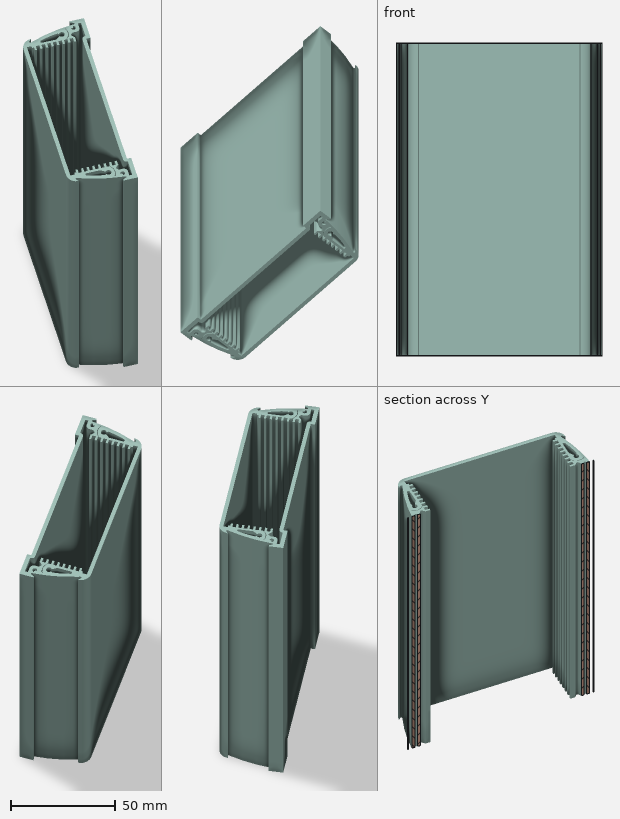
import cadquery as cq
import math

WIDTH = 98.5
DEPTH = 32.8
LENGTH = 150.0
HALF_WIDTH = WIDTH / 2


PLATE_THICKNESS = 2.0

RIM_WIDTH = 12.2
RIM_THICKNESS = 2.1
RIM_UNDERSIDE = DEPTH - RIM_THICKNESS
PANEL_TOP = RIM_UNDERSIDE
PANEL_BOTTOM = PANEL_TOP - PLATE_THICKNESS
STEP_FILLET = 0.3
STEP_ROUND = RIM_UNDERSIDE - PANEL_BOTTOM - STEP_FILLET
STEP_FACE = RIM_WIDTH - STEP_ROUND

SKIRT_THICKNESS = 2.2
SKIRT_BOTTOM = 25.8
SKIRT_TIP_WIDTH = 0.8
NOTCH_OUTER = 1.4
NOTCH_SPRING = 27.2
NOTCH_CREST = (1.8, 27.6)

HEAD_TOP = 26.5
HEAD_OUTER = SKIRT_THICKNESS
HEAD_INNER = 4.2
HEAD_CHAMFER = 0.5
HEAD_CORNER = (HEAD_INNER, 25.4)
SOCKET_START = (3.2, HEAD_TOP)
SOCKET_CREST = (4.8, 27.5)
NECK_FACE = 3.8
NECK_TOP = 24.6

WALL_FACE = 10.0
SEAT_LEFT = 22.6
SEAT_CREST = (6.8, 23.4)
SEAT_RIGHT = 21.5
SEAT_GAP = 0.3

SHELF_TOP = 29.2
SHELF_END = 4.8
HOOK_FACE = 6.9
HOOK_SHOULDER = (6.3, 28.6)
HOOK_FACE_TOP = 27.2
HOOK_FACE_BOTTOM = 25.4
VALLEY_BOTTOM = 24.3
VALLEY_START = 7.8
VALLEY_END = 8.4
FOOT_TIP = (WALL_FACE, 26.0)

RIB_COUNT = 8
COVER_RIB_COUNT = 2
BASE_RIB_COUNT = RIB_COUNT - COVER_RIB_COUNT
RIB_THICKNESS = 1.0
RIB_TIP = 12.3
RIB_EMBED = 0.2
LOWEST_RIB = 5.7
HIGHEST_RIB = 25.2
RIB_PITCH = (HIGHEST_RIB - LOWEST_RIB) / (RIB_COUNT - 1)

CORNER_RADIUS = 5.2
CORNER_CENTER = 10.5
CORNER_MIDDLE = 1.4
CORNER_TOP = 3.3
LIP_TIP = (CORNER_CENTER - CORNER_RADIUS, 5.1)
GROOVE_START = (6.3, 4.2)
GROOVE_BOTTOM = (7.0, 3.9)
GROOVE_END = (7.4, 4.5)

BOW_START = (7.0, 5.2)
BOW_MIDDLE = (3.9, 15.9)

LEDGE_FACE = 10.6
SLOT_TOP = 4.2
SLOT_BACK = 9.6

BORE_CENTER = (6.6, 20.1)
BORE_RADIUS = 1.4
NECK_LEFT = 6.0
NECK_RIGHT = 7.4
KEYHOLE_NECK_TOP = 19.5
KEYHOLE_NECK_BOTTOM = 18.8
TAPER_START = (5.5, 18.2)
TAPER_MIDDLE = (6.3, 13.8)
TAPER_END = (7.5, 9.6)
KEYHOLE_BOTTOM = (8.2, 9.0)
KEYHOLE_FACE = 8.8
KEYHOLE_FACE_TOP = 16.6


def section(start):
    """Begin an outline at a point of the cross-section, on the lower end face."""
    return cq.Workplane("XY", origin=(-HALF_WIDTH, -DEPTH / 2, -LENGTH / 2)).moveTo(*start)


def lowered(point, drop):
    """Point of the cross-section moved down."""
    across, up = point
    return (across, up - drop)


def corner_point(up):
    """Point of the rounded base corner at the given height."""
    return (CORNER_CENTER - math.sqrt(CORNER_RADIUS**2 - (CORNER_RADIUS - up) ** 2), up)


def add_ribs(half, numbers):
    """Fuse the guide ribs with the given numbers, counted from the lowest, to a half."""
    root = WALL_FACE - RIB_EMBED
    for number in numbers:
        bottom = LOWEST_RIB + number * RIB_PITCH - RIB_THICKNESS / 2
        top = bottom + RIB_THICKNESS
        outline = section((root, bottom)).lineTo(RIB_TIP, bottom).lineTo(RIB_TIP, top).lineTo(root, top)
        half = half.union(outline.close().extrude(LENGTH))
    return half


def whole(half):
    """Complete a left half with its mirror image."""
    return half.union(half.mirror("YZ")).clean()


def make_cover():
    half = (
        section((HALF_WIDTH, PANEL_TOP))
        .lineTo(RIM_WIDTH, PANEL_TOP)
        .lineTo(RIM_WIDTH, DEPTH)
        .lineTo(0, DEPTH)
        .lineTo(0, SKIRT_BOTTOM)
        .lineTo(SKIRT_TIP_WIDTH, SKIRT_BOTTOM)
        .lineTo(NOTCH_OUTER, NOTCH_SPRING)
        .threePointArc(NOTCH_CREST, (HEAD_OUTER, NOTCH_SPRING))
        .lineTo(HEAD_OUTER, HEAD_TOP)
        .lineTo(*SOCKET_START)
        .threePointArc(SOCKET_CREST, HEAD_CORNER)
        .lineTo(NECK_FACE, NECK_TOP)
        .lineTo(NECK_FACE, SEAT_LEFT)
        .threePointArc(SEAT_CREST, (WALL_FACE, SEAT_RIGHT))
        .lineTo(*FOOT_TIP)
        .lineTo(VALLEY_END, VALLEY_BOTTOM)
        .lineTo(VALLEY_START, VALLEY_BOTTOM)
        .lineTo(HOOK_FACE, HOOK_FACE_BOTTOM)
        .lineTo(HOOK_FACE, HOOK_FACE_TOP)
        .threePointArc(HOOK_SHOULDER, (SHELF_END, SHELF_TOP))
        .lineTo(SKIRT_THICKNESS, SHELF_TOP)
        .lineTo(SKIRT_THICKNESS, RIM_UNDERSIDE)
        .lineTo(STEP_FACE - STEP_FILLET, RIM_UNDERSIDE)
        .radiusArc((STEP_FACE, RIM_UNDERSIDE - STEP_FILLET), STEP_FILLET)
        .radiusArc((STEP_FACE + STEP_ROUND, PANEL_BOTTOM), -STEP_ROUND)
        .lineTo(HALF_WIDTH, PANEL_BOTTOM)
        .close()
        .extrude(LENGTH)
    )
    return whole(add_ribs(half, range(BASE_RIB_COUNT, RIB_COUNT)))


def make_keyhole():
    bore = section(BORE_CENTER).circle(BORE_RADIUS).extrude(LENGTH)
    slot = (
        section((NECK_LEFT, KEYHOLE_NECK_TOP))
        .lineTo(NECK_LEFT, KEYHOLE_NECK_BOTTOM)
        .lineTo(*TAPER_START)
        .threePointArc(TAPER_MIDDLE, TAPER_END)
        .threePointArc(KEYHOLE_BOTTOM, (KEYHOLE_FACE, TAPER_END[1]))
        .lineTo(KEYHOLE_FACE, KEYHOLE_FACE_TOP)
        .lineTo(NECK_RIGHT, KEYHOLE_NECK_BOTTOM)
        .lineTo(NECK_RIGHT, KEYHOLE_NECK_TOP)
        .close()
        .extrude(LENGTH)
    )
    return bore.union(slot)


def make_base():
    half = (
        section((HALF_WIDTH, 0))
        .lineTo(CORNER_CENTER, 0)
        .threePointArc(corner_point(CORNER_MIDDLE), corner_point(CORNER_TOP))
        .lineTo(*LIP_TIP)
        .lineTo(*GROOVE_START)
        .threePointArc(GROOVE_BOTTOM, GROOVE_END)
        .lineTo(*BOW_START)
        .threePointArc(BOW_MIDDLE, (HEAD_OUTER, HEAD_TOP))
        .lineTo(HEAD_INNER - HEAD_CHAMFER, HEAD_TOP)
        .lineTo(HEAD_INNER, HEAD_TOP - HEAD_CHAMFER)
        .lineTo(*HEAD_CORNER)
        .lineTo(NECK_FACE, NECK_TOP)
        .lineTo(NECK_FACE, SEAT_LEFT - SEAT_GAP)
        .threePointArc(lowered(SEAT_CREST, SEAT_GAP), (WALL_FACE, SEAT_RIGHT - SEAT_GAP))
        .lineTo(WALL_FACE, LOWEST_RIB)
        .lineTo(LEDGE_FACE, LOWEST_RIB)
        .lineTo(LEDGE_FACE, SLOT_TOP)
        .lineTo(SLOT_BACK, SLOT_TOP)
        .lineTo(SLOT_BACK, PLATE_THICKNESS)
        .lineTo(HALF_WIDTH, PLATE_THICKNESS)
        .close()
        .extrude(LENGTH)
        .cut(make_keyhole())
    )
    return whole(add_ribs(half, range(BASE_RIB_COUNT)))


cover = make_cover()
base = make_base()
result = cq.Compound.makeCompound([cover.solids().val(), base.solids().val()])